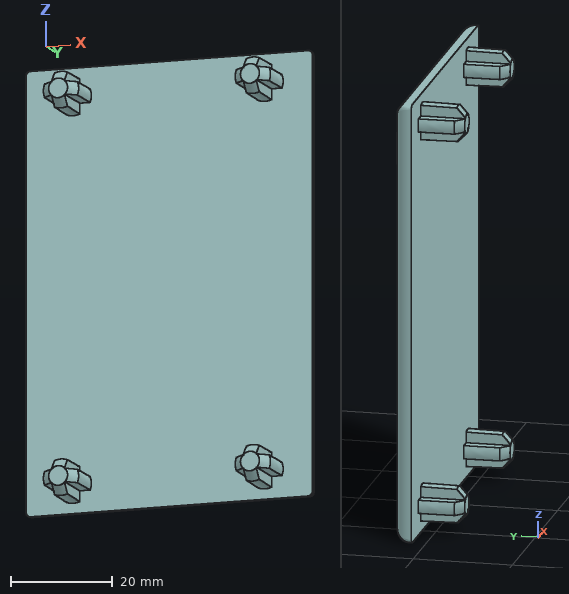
import cadquery as cq

plate_width = 59.8
plate_height = 89.8
total_depth = 12.7
pin_length = 9.0
band_rise = 0.2
plate_thickness = total_depth - pin_length - band_rise
edge_land = 0.45
edge_radius = plate_thickness - edge_land
corner_radius = 0.9

band_width = plate_width - 2 * edge_radius
band_height = 6.3
band_center_z = 35.0

pin_spacing_x = 40.05
pin_spacing_z = 78.1
pin_base_radius = 3.8
pin_shoulder_radius = 3.7
pin_tip_radius = 2.0
pin_rib_width = 2.7
lead_in_length = pin_shoulder_radius - pin_tip_radius


def rounded_slab(across, along):
    """Slab of size across (X) by along (Z), its two long back edges fully rounded."""
    slab = cq.Workplane("XY").box(across, plate_thickness, along)
    slab = slab.translate((0, plate_thickness / 2, 0))
    return slab.edges("|Z and >Y").fillet(edge_radius)


def make_plate():
    """Plate rounded on all four back edges, with softened mitred corners."""
    sides = rounded_slab(plate_width, plate_height)
    ends = rounded_slab(plate_height, plate_width).rotate((0, 0, 0), (0, 1, 0), 90)
    plate = sides.intersect(ends)
    for x_side in (-1, 1):
        for z_side in (-1, 1):
            x_edge = x_side * plate_width / 2
            z_edge = z_side * plate_height / 2
            near_corner = cq.selectors.BoxSelector(
                (x_edge - edge_radius, edge_land / 4, z_edge - edge_radius),
                (x_edge + edge_radius, plate_thickness - edge_land / 4, z_edge + edge_radius),
            )
            plate = plate.edges(near_corner).edges("not(|X or |Z)").fillet(corner_radius)
    return plate


def make_band():
    """Raised band, sunk halfway into the plate to join it firmly."""
    depth = plate_thickness / 2 + band_rise
    band = cq.Workplane("XY").box(band_width, depth, band_height)
    return band.translate((0, plate_thickness + band_rise - depth / 2, band_center_z))


def make_pin():
    """Pin along -Y: a tapered round body cut down to two crossing ribs."""
    body = (
        cq.Workplane("XY")
        .lineTo(pin_base_radius, 0)
        .lineTo(pin_shoulder_radius, lead_in_length - pin_length)
        .lineTo(pin_tip_radius, -pin_length)
        .lineTo(0, -pin_length)
        .close()
        .revolve(360, (0, 0), (0, 1))
    )
    rib_span = 2 * pin_base_radius
    rib_length = 2 * pin_length
    cross = cq.Workplane("XY").box(rib_span, rib_length, pin_rib_width)
    cross = cross.union(cq.Workplane("XY").box(pin_rib_width, rib_length, rib_span))
    return body.intersect(cross)


result = make_plate().union(make_band())
pin = make_pin()
for x_side in (-1, 1):
    for z_side in (-1, 1):
        place = (x_side * pin_spacing_x / 2, 0, z_side * pin_spacing_z / 2)
        result = result.union(pin.translate(place))